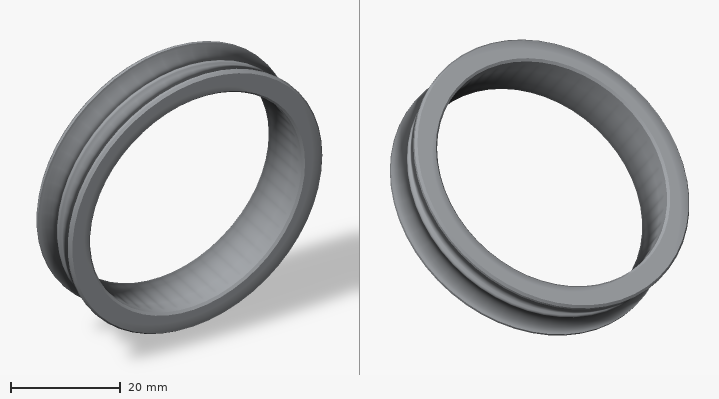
import cadquery as cq
import math

width = 12.0
outer_radius = 27.5
bore_radius = 23.0
edge_chamfer_width = 0.5
edge_chamfer_depth = 0.4
bore_chamfer = 0.45

groove_offset = 2.55
groove_radius = 2.5
groove_floor_radius = 25.1
crest_round = 0.5

half_width = width / 2
groove_center_height = groove_floor_radius + groove_radius

rim_drop = groove_center_height - outer_radius
rim_x = groove_offset + math.sqrt(groove_radius**2 - rim_drop**2)

center_distance = groove_radius + crest_round
crest_center_height = groove_center_height - math.sqrt(center_distance**2 - groove_offset**2)
crest_top = crest_center_height + crest_round
tangent_x = groove_offset * crest_round / center_distance
tangent_height = crest_center_height + (
    (groove_center_height - crest_center_height) * crest_round / center_distance
)


def ring_profile():
    """Half section of the ring: x along the axis, y the radius."""
    land_x = half_width - edge_chamfer_width
    face_top = outer_radius - edge_chamfer_depth
    face_bottom = bore_radius + bore_chamfer
    bore_x = half_width - bore_chamfer
    return (
        cq.Workplane("XY")
        .moveTo(-bore_x, bore_radius)
        .lineTo(-half_width, face_bottom)
        .lineTo(-half_width, face_top)
        .lineTo(-land_x, outer_radius)
        .lineTo(-rim_x, outer_radius)
        .radiusArc((-groove_offset, groove_floor_radius), -groove_radius)
        .radiusArc((-tangent_x, tangent_height), -groove_radius)
        .threePointArc((0, crest_top), (tangent_x, tangent_height))
        .radiusArc((groove_offset, groove_floor_radius), -groove_radius)
        .radiusArc((rim_x, outer_radius), -groove_radius)
        .lineTo(land_x, outer_radius)
        .lineTo(half_width, face_top)
        .lineTo(half_width, face_bottom)
        .lineTo(bore_x, bore_radius)
        .close()
    )


result = ring_profile().revolve(360, (0, 0, 0), (1, 0, 0))